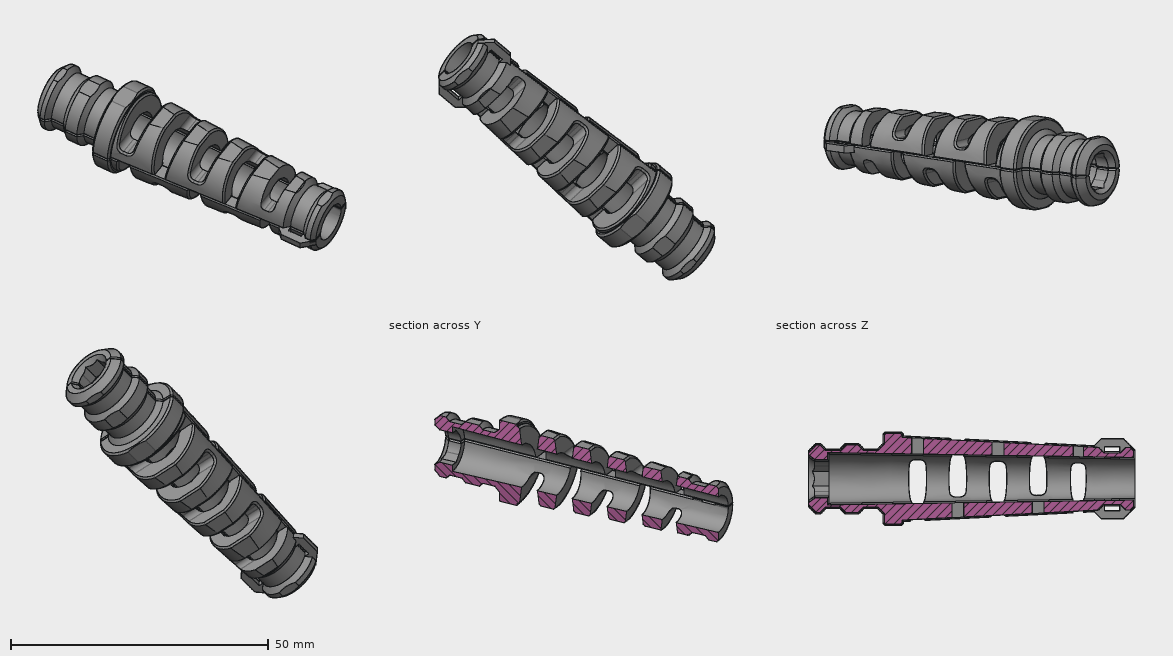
import cadquery as cq
import math


total_length = 63.41

ring_radius = 6.85
plug_neck_radius = 5.83
ring_step = ring_radius - plug_neck_radius
plug_lead_in = 1.4
first_ring_end = 2.35
second_ring_start = 7.12
second_ring_end = 9.75

flange_radius = 9.07
flange_start = 14.45
flange_end = 18.45
flange_chamfer = 0.4

cone_start_radius = 8.33
cone_end_radius = 6.38
cone_end = 56.45

tail_neck_radius = 5.32
tail_ring_radius = 6.38
tail_ring_start = 61.5
tail_ring_end = 62.6
tail_neck_start = cone_end + cone_end_radius - tail_neck_radius
tail_neck_end = tail_ring_start - (tail_ring_radius - tail_neck_radius)

ring_flat_height = 6.61
flange_flat_height = 8.8
tail_flat_height = 6.05
rib_flat_depth = 0.34

funnel_radius = 4.28
funnel_depth = 1.2
throat_end = 4.0
throat_side = 3.4
throat_flat_height = 3.44
throat_flat_half_width = 1.43
throat_corner_y = 2.5
throat_corner_z = 2.25
bore_start_radius = 4.77
bore_end_radius = 3.82

slot_count = 5
slot_pitch = 7.8
first_slot_x = 21.2
slot_root_half_width = 1.12
last_slot_root_half_width = 0.98
slot_wall_angle = 7.5
slot_floor_height = 2.6
slot_floor_half_flat = 0.42
slot_edge_chamfer = 0.35
outer_surface_margin = 0.8
slot_reach = 2.5

seam_chamfer = 0.28

tab_thickness = 1.4
tab_half_width = 7.79
tab_start = 55.5
tab_straight_start = 56.87
tab_straight_end = 61.17
tab_slot_outer_y = 6.17

reach = 12.0


def cone_radius(x):
    along = (x - flange_end) / (cone_end - flange_end)
    return cone_start_radius + along * (cone_end_radius - cone_start_radius)


def slot_x(index):
    return first_slot_x + index * slot_pitch


def box_between(x0, x1, y0, y1, z0, z1):
    return cq.Workplane("XY").box(x1 - x0, y1 - y0, z1 - z0, centered=False).translate((x0, y0, z0))


def turned(outline):
    """Outline of (x, radius) points turned about X, starting at the bottom, away from the Z = 0 plane."""
    half_section = [(x, -radius) for x, radius in outline]
    return cq.Workplane("XZ").polyline(half_section).close().revolve(360, (0, 0, 0), (1, 0, 0))


def revolved_blank():
    """Solid outer shape of the whole sleeve, turned about the X axis."""
    outline = [
        (0, 0),
        (0, ring_radius - plug_lead_in),
        (plug_lead_in, ring_radius),
        (first_ring_end, ring_radius),
        (first_ring_end + ring_step, plug_neck_radius),
        (second_ring_start - ring_step, plug_neck_radius),
        (second_ring_start, ring_radius),
        (second_ring_end, ring_radius),
        (second_ring_end + ring_step, plug_neck_radius),
        (flange_start - ring_step, plug_neck_radius),
        (flange_start, ring_radius),
        (flange_start, flange_radius - flange_chamfer),
        (flange_start + flange_chamfer, flange_radius),
        (flange_end - flange_chamfer, flange_radius),
        (flange_end, flange_radius - flange_chamfer),
        (flange_end, cone_start_radius),
        (cone_end, cone_end_radius),
        (tail_neck_start, tail_neck_radius),
        (tail_neck_end, tail_neck_radius),
        (tail_ring_start, tail_ring_radius),
        (tail_ring_end, tail_ring_radius),
        (total_length, tail_ring_radius - (total_length - tail_ring_end)),
        (total_length, 0),
    ]
    return turned(outline)


def bore():
    """Funnel and tapered passage turned about X, with the faceted throat running in from the end."""
    funnel = turned([(0, 0), (0, funnel_radius), (funnel_depth, throat_side), (funnel_depth, 0)])
    passage = turned(
        [(throat_end, 0), (throat_end, bore_start_radius), (total_length, bore_end_radius), (total_length, 0)]
    )
    throat = (
        cq.Workplane("YZ")
        .moveTo(-throat_flat_half_width, -throat_flat_height)
        .lineTo(throat_flat_half_width, -throat_flat_height)
        .lineTo(throat_corner_y, -throat_corner_z)
        .threePointArc((throat_side, 0), (throat_corner_y, throat_corner_z))
        .lineTo(throat_flat_half_width, throat_flat_height)
        .lineTo(-throat_flat_half_width, throat_flat_height)
        .lineTo(-throat_corner_y, throat_corner_z)
        .threePointArc((-throat_side, 0), (-throat_corner_y, -throat_corner_z))
        .close()
        .extrude(throat_end)
    )
    return funnel.union(throat).union(passage)


def cut_flats(half):
    """Level flats, each at its own height, along the crown of the half shell."""
    flats = [
        (0, flange_start - ring_step, ring_flat_height),
        (flange_start, flange_end, flange_flat_height),
        (cone_end, total_length, tail_flat_height),
    ]
    for index in range(slot_count):
        rib_start = slot_x(index)
        rib_end = min(slot_x(index + 1), cone_end)
        rib_middle = (rib_start + rib_end) / 2
        flats.append((rib_start, rib_end, cone_radius(rib_middle) - rib_flat_depth))
    for start, end, height in flats:
        half = half.cut(box_between(start, end, -reach, reach, height, reach))
    return half


def slot_cutter(index):
    """Tapered slot: down to the seam on one side of the bore, with a rounded floor on the other."""
    last = index == slot_count - 1
    root = last_slot_root_half_width if last else slot_root_half_width
    slope = math.tan(math.radians(slot_wall_angle))
    top = root + reach * slope
    floor = root + slot_floor_height * slope
    deep_side = 1 if index % 2 == 0 else -1
    floor_radius = (floor - slot_floor_half_flat) / math.tan(math.radians((90 - slot_wall_angle) / 2))

    deep = (
        cq.Workplane("XZ")
        .polyline([(-root, 0), (root, 0), (top, reach), (-top, reach)])
        .close()
        .extrude(-deep_side * reach)
    )
    shallow = (
        cq.Workplane("XZ")
        .polyline([(-floor, slot_floor_height), (floor, slot_floor_height), (top, reach), (-top, reach)])
        .close()
        .extrude(deep_side * reach)
        .edges("|Y and (not >Z)")
        .fillet(floor_radius)
    )
    return deep.union(shallow).translate((slot_x(index), 0, 0))


def slot_rim(half, index):
    """Edges where a slot breaks out through the outer surface, above the seam bevel."""
    rim = []
    for edge in half.edges().vals():
        middle = edge.positionAt(0.5)
        in_slot = abs(middle.x - slot_x(index)) < slot_reach
        outside = math.hypot(middle.y, middle.z) > cone_radius(middle.x) - outer_surface_margin
        if in_slot and outside and middle.z > slot_floor_height / 2:
            rim.append(edge)
    return rim


def half_shell():
    """Upper half shell, with its seam edges bevelled and its slots cut."""
    half = revolved_blank().cut(bore())
    half = half.intersect(box_between(0, total_length, -reach, reach, 0, reach))
    half = half.faces("<Z").edges("not <X").chamfer(seam_chamfer)
    half = cut_flats(half)
    for index in range(slot_count):
        half = half.cut(slot_cutter(index))
    for index in range(slot_count - 1):
        half = half.newObject(slot_rim(half, index)).chamfer(slot_edge_chamfer)
    return half


def strap_tabs():
    """Octagonal plate below the seam; its window leaves a strap slot on each side of the neck."""
    corner_y = tab_half_width - (tab_straight_start - tab_start)
    end_y = tab_half_width - (total_length - tab_straight_end)
    side = [
        (tab_start, corner_y),
        (tab_straight_start, tab_half_width),
        (tab_straight_end, tab_half_width),
        (total_length, end_y),
    ]
    outline = side + [(x, -y) for x, y in reversed(side)]
    plate = cq.Workplane("XY").polyline(outline).close().extrude(-tab_thickness)
    neck_window = box_between(
        tail_neck_start, tail_neck_end, -tab_slot_outer_y, tab_slot_outer_y, -tab_thickness, 0
    )
    return plate.cut(neck_window).cut(bore())


upper_half = half_shell()
lower_half = half_shell().rotate((0, 0, 0), (1, 0, 0), 180).union(strap_tabs())

result = cq.Compound.makeCompound([upper_half.val(), lower_half.val()])